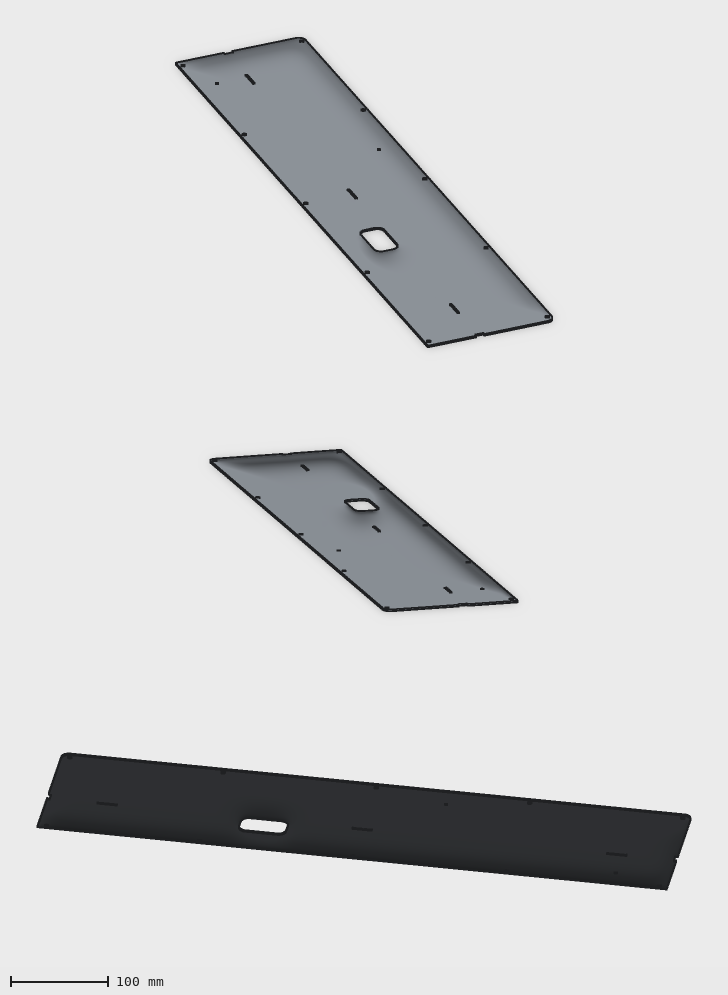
import cadquery as cq

length = 654.0
width = 141.0
thickness = 2.0
corner_radius = 8.0

mount_diameter = 4.0
mount_columns = 5
mount_end_inset = 8.5
mount_side_inset = 4.5

notch_depth = 2.5
notch_width = 9.0
notch_y = -12.5

slot_length = 20.0
slot_width = 2.0
slot_y = -14.5
slot_spacing = 265.0

window_length = 49.0
window_width = 26.0
window_radius = 8.0
window_center = (100.0, -27.5)

small_diameter = 2.7
small_hole_centers = [(-76.0, 48.0), (-270.0, -49.0)]


def make_plate():
    plate = cq.Workplane("XY").box(length, width, thickness, centered=(True, True, False))
    return plate.edges("|Z and >Y").fillet(corner_radius)


def make_mount_holes():
    column_spacing = (length - 2 * mount_end_inset) / (mount_columns - 1)
    row_spacing = width - 2 * mount_side_inset
    return (
        cq.Workplane("XY")
        .rarray(column_spacing, row_spacing, mount_columns, 2)
        .circle(mount_diameter / 2)
        .extrude(thickness)
    )


def make_notches():
    return (
        cq.Workplane("XY")
        .pushPoints([(-length / 2, notch_y), (length / 2, notch_y)])
        .rect(2 * notch_depth, notch_width)
        .extrude(thickness)
    )


def make_slots():
    return (
        cq.Workplane("XY")
        .pushPoints([(side * slot_spacing, slot_y) for side in (-1, 0, 1)])
        .rect(slot_length, slot_width)
        .extrude(thickness)
    )


def make_window():
    return (
        cq.Workplane("XY")
        .center(*window_center)
        .rect(window_length, window_width)
        .extrude(thickness)
        .edges("|Z")
        .fillet(window_radius)
    )


def make_small_holes():
    return (
        cq.Workplane("XY")
        .pushPoints(small_hole_centers)
        .circle(small_diameter / 2)
        .extrude(thickness)
    )


result = (
    make_plate()
    .cut(make_mount_holes())
    .cut(make_notches())
    .cut(make_slots())
    .cut(make_window())
    .cut(make_small_holes())
)